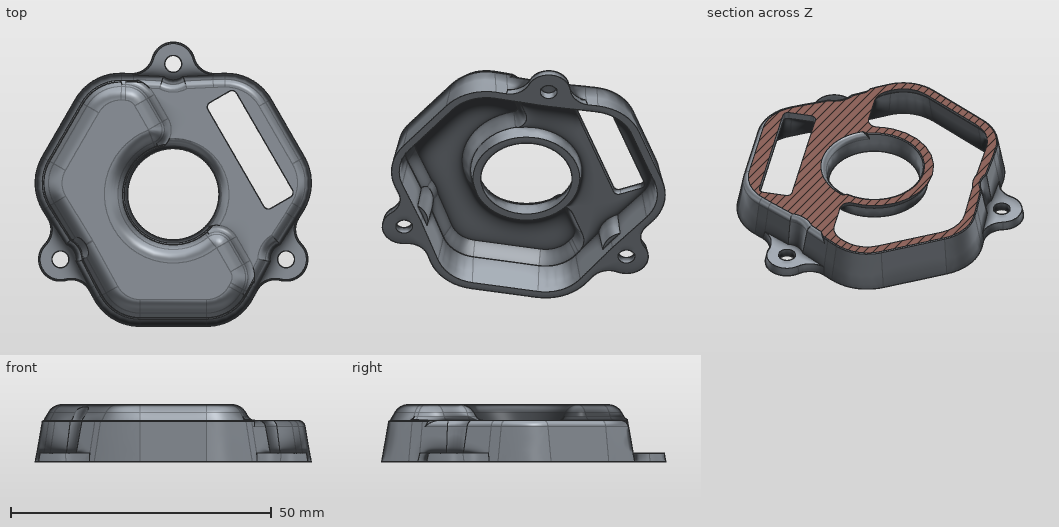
import cadquery as cq
import math

total_height = 11.0
shelf_height = 8.0
wall = 1.5
wall_draft = 10.0
side_count = 3

long_side_distance = 25.38
lug_side_distance = 23.0
lug_side_tilt = 1.3
corner_radius = 10.0

lug_root_distance = 23.18
lug_circle_radius = 25.0
lug_radius = 4.2
lug_blend_radius = 4.0
lug_height = 1.7
lug_hole_diameter = 3.2
head_clearance_radius = 3.05
recess_depth = 0.2
recess_tilt = 2.8
recess_half_length = 12.0
recess_reach = 8.0

bore_radius = 9.45
bore_bottom = 4.0
shelf_fillet = 1.5

plateau_draft = 30.0
plateau_fillet = 3.0
plateau_ledge = 0.3
ledge_chamfer = 0.24
step_distance = 5.55
step_direction = 30.0
step_inner_corner = 3.5
step_outer_corner = 5.6
step_foot_fillet = 1.5

slot_distance = 17.05
slot_width = 6.3
slot_length = 23.4
slot_corner = 1.0

overlap = 1.0
tolerance = 0.01
tan_wall = math.tan(math.radians(wall_draft))
tan_plateau = math.tan(math.radians(plateau_draft))
turn = 360.0 / side_count
foot_reach = step_foot_fillet * math.tan(math.radians(90 - plateau_draft) / 2)


def spin(body):
    """The body of the +Y lug, repeated at every lug."""
    copies = body
    for i in range(1, side_count):
        copies = copies.union(body.rotate((0, 0, 0), (0, 0, 1), i * turn))
    return copies


def cone(bottom_z, bottom_radius, top_z, top_radius):
    profile = [(0, bottom_z), (bottom_radius, bottom_z), (top_radius, top_z), (0, top_z)]
    return cq.Workplane("XZ").polyline(profile).close().revolve(360, (0, 0, 0), (0, 1, 0))


def outline_prism(z, inset):
    """Rounded six-sided slab; each lug side bends slightly inward at its middle."""
    near = long_side_distance - inset
    middle = lug_side_distance - inset / math.cos(math.radians(lug_side_tilt))
    slope = math.tan(math.radians(lug_side_tilt))
    half_turn = math.radians(turn / 2)
    half_length = (near - middle * math.cos(half_turn)) / (math.sin(half_turn) + slope * math.cos(half_turn))
    corner_distance = middle + half_length * slope
    points = []
    for i in range(side_count):
        angle = math.radians(90 + i * turn)
        for along, out in ((half_length, corner_distance), (0, middle), (-half_length, corner_distance)):
            x = out * math.cos(angle) + along * math.sin(angle)
            y = out * math.sin(angle) - along * math.cos(angle)
            points.append((x, y))
    slab = cq.Workplane("XY").workplane(offset=z).polyline(points).close().extrude(overlap)
    corners = slab.edges("|Z").filter(lambda edge: math.hypot(edge.Center().x, edge.Center().y) > near)
    return corners.fillet(corner_radius - inset)


def tapered(outline_body, height, draft):
    """Drafted body grown from the underside outline of a prism."""
    outline = outline_body.faces("<Z").wires().toPending()
    return outline.extrude(height, taper=draft, combine=False)


def frustum(z, inset, height, draft):
    return tapered(outline_prism(z, inset), height, draft)


def bore_cone(extra):
    """Bore surface, opened by `extra` all round, over the full height."""
    return cone(
        -overlap,
        bore_radius + extra - (shelf_height + overlap) * tan_wall,
        total_height + overlap,
        bore_radius + extra + (total_height + overlap - shelf_height) * tan_wall,
    )


def head_clearance(extra):
    """Flaring screw-head clearance above the lug face."""
    shelf_radius = head_clearance_radius + (shelf_height - lug_height) * tan_wall
    top_radius = shelf_radius + (total_height - shelf_height) * tan_plateau
    lower = cone(lug_height, head_clearance_radius + extra, shelf_height, shelf_radius + extra)
    upper = cone(shelf_height, shelf_radius + extra, total_height, top_radius + extra)
    return lower.union(upper).translate((0, lug_circle_radius, 0))


def side_recess():
    """Shallow V set into the lug side above the lug face."""
    lug_face_distance = lug_side_distance - lug_height * tan_wall
    apex = lug_face_distance - recess_depth
    shoulder = apex + recess_half_length * math.tan(math.radians(recess_tilt))
    outline = [
        (0, apex),
        (recess_half_length, shoulder),
        (recess_half_length, shoulder + recess_reach),
        (-recess_half_length, shoulder + recess_reach),
        (-recess_half_length, shoulder),
    ]
    plane = cq.Workplane("XY").workplane(offset=lug_height)
    return plane.polyline(outline).close().extrude(shelf_height - lug_height, taper=-wall_draft)


def plain_base():
    base = frustum(0, 0, shelf_height, wall_draft)
    return base.cut(spin(side_recess())).cut(spin(head_clearance(0))).cut(bore_cone(0))


def beyond_step(distance):
    """Everything farther than `distance` from the bore axis, measured across the step."""
    size = 4 * long_side_distance
    block = cq.Workplane("XY").box(size, size, size).translate((distance + size / 2, 0, 0))
    return block.rotate((0, 0, 0), (0, 0, 1), step_direction)


def plateau_prism():
    """Plan of the plateau foot: the shell outline less the bore and the step side."""
    foot_inset = shelf_height * tan_wall + plateau_ledge
    foot_bore = bore_radius + plateau_ledge
    prism = outline_prism(shelf_height, foot_inset)
    prism = prism.cut(cq.Workplane("XY").circle(foot_bore).extrude(total_height))
    prism = prism.cut(beyond_step(step_distance)).rotate((0, 0, 0), (0, 0, 1), -step_direction)
    halfway = long_side_distance / 2
    bore_corners = prism.edges(">X").edges("|Z").filter(lambda edge: abs(edge.Center().y) < halfway)
    prism = bore_corners.fillet(step_inner_corner)
    wall_corners = prism.edges(">X").edges("|Z").filter(lambda edge: abs(edge.Center().y) > halfway)
    prism = wall_corners.fillet(step_outer_corner)
    return prism.rotate((0, 0, 0), (0, 0, 1), step_direction)


def plateau(prism):
    body = tapered(prism, total_height - shelf_height, plateau_draft)
    return body.edges(">Z").fillet(plateau_fillet)


def plateau_base(base, prism):
    """Wall under the plateau, where the shell edge is only a narrow ledge."""
    outline = prism.faces("<Z").wires().toPending().offset2D(foot_reach)
    column = outline.extrude(-shelf_height, combine=False)
    return base.edges(">Z").chamfer(ledge_chamfer).intersect(column)


def step_foot(prism):
    """Concave fillet between the step and the shelf, ending at the shell wall and the bore."""
    floor_radius = 2 * long_side_distance
    floor = cq.Workplane("XY").workplane(offset=lug_height).circle(floor_radius)
    body = floor.extrude(shelf_height - lug_height).union(plateau(prism))
    foot = body.edges().filter(
        lambda edge: abs(edge.Center().z - shelf_height) < tolerance and edge.Length() < floor_radius
    )
    fillet = foot.fillet(step_foot_fillet).cut(body)
    envelope = frustum(0, 0, total_height, wall_draft).cut(bore_cone(0))
    return fillet.intersect(envelope).intersect(beyond_step(step_distance - step_inner_corner))


def outer_body():
    base = plain_base()
    prism = plateau_prism()
    body = base.edges(">Z").fillet(shelf_fillet)
    body = body.union(plateau_base(base, prism))
    body = body.union(plateau(prism).union(step_foot(prism)))
    return body.cut(spin(head_clearance(0)))


def lug():
    """Rounded ear blended into the lug side, drafted like the wall."""
    blend_y = lug_root_distance + lug_blend_radius
    centre_gap = lug_radius + lug_blend_radius
    blend_x = math.sqrt(centre_gap**2 - (blend_y - lug_circle_radius) ** 2)
    share = lug_radius / centre_gap
    touch_x = share * blend_x
    touch_y = lug_circle_radius + share * (blend_y - lug_circle_radius)
    root_y = lug_root_distance - wall
    ear = (
        cq.Workplane("XY").moveTo(-blend_x, root_y).lineTo(-blend_x, lug_root_distance)
        .radiusArc((-touch_x, touch_y), -lug_blend_radius)
        .threePointArc((0, lug_circle_radius + lug_radius), (touch_x, touch_y))
        .radiusArc((blend_x, lug_root_distance), -lug_blend_radius)
        .lineTo(blend_x, root_y).close()
    )
    return ear.extrude(lug_height, taper=wall_draft)


def cavity(prism):
    """Hollow underside, leaving a tube round the bore and a wall behind each clearance."""
    roof = shelf_height - wall
    inset = wall / math.cos(math.radians(plateau_draft)) - wall * tan_plateau
    raised = prism.faces("<Z").wires().toPending().offset2D(-inset).extrude(overlap, combine=False)
    raised = tapered(raised, total_height - shelf_height, plateau_draft).translate((0, 0, -wall))
    tube_base = cq.Workplane("XY").workplane(offset=bore_bottom)
    tube = bore_cone(wall).intersect(tube_base.circle(long_side_distance).extrude(total_height))
    hollow = frustum(0, wall, roof, wall_draft).union(raised)
    return hollow.cut(tube).cut(spin(head_clearance(wall)))


def slot():
    block = cq.Workplane("XY").rect(slot_width, slot_length).extrude(total_height)
    block = block.edges("|Z").fillet(slot_corner)
    return block.translate((slot_distance, 0, 0)).rotate((0, 0, 0), (0, 0, 1), step_direction)


def lug_hole():
    hole = cq.Workplane("XY").circle(lug_hole_diameter / 2).extrude(lug_height)
    return hole.translate((0, lug_circle_radius, 0))


shell = outer_body().union(spin(lug())).cut(cavity(plateau_prism()))
result = shell.cut(slot()).cut(spin(lug_hole())).solids()